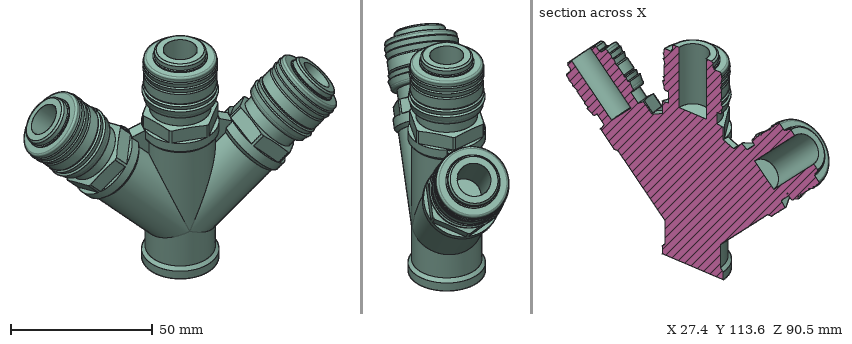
import cadquery as cq
import math


total_height = 90.5
junction_height = 19.7
outlet_angle = 45

tube_radius = 12.5
collar_radius = 13.7
inlet_collar_height = 3.4
collar_taper = 1.4
outlet_collar_bottom = 55.9
hex_bottom = 59.4

hex_top = 65.1
hex_across_flats = 24.3
hex_cone_height = 0.5

neck_radius = 10.9
sleeve_bottom = 69.6
sleeve_top = 87.5
sleeve_radius = 13.0
sleeve_fillet = 0.8
tooth_radius = 13.3
large_tooth_radius = 13.6
tooth_root_radius = 12.8
groove_radius = 12.6
upper_groove_height = 80.9
tooth_tips = (73.2, 75.2, 82.8, 85.1)
tooth_step = 0.5
lower_tooth_start = 71.0
band_bottom = 76.2
band_top = 80.3
nose_radius = 9.2
nose_chamfer = 0.7
nose_foot_radius = 9.7
nose_foot_top = 88.2
nose_foot_bottom = 87.9
bore_radius = 6.0
bore_depth = total_height - hex_top

web_thickness = 5.0


def revolve_outline(points):
    """Solid of revolution about Z from (radius, height) points, closed along the axis."""
    bottom = points[0][1]
    top = points[-1][1]
    outline = [(0, bottom)] + points + [(0, top)]
    return cq.Workplane("XZ").polyline(outline).close().revolve(360, (0, 0), (0, 1))


def make_inlet():
    return revolve_outline([
        (collar_radius, 0),
        (collar_radius, inlet_collar_height),
        (tube_radius, inlet_collar_height + collar_taper),
        (tube_radius, junction_height),
    ])


def make_outlet_tube():
    return revolve_outline([
        (tube_radius, junction_height),
        (tube_radius, outlet_collar_bottom - collar_taper),
        (collar_radius, outlet_collar_bottom),
        (collar_radius, hex_bottom),
    ])


def make_hexagon():
    """Hexagon with two flats facing -X and +X, corners turned and top face coned."""
    across_corners = hex_across_flats / math.cos(math.radians(30))
    prism = (
        cq.Workplane("XY", origin=(0, 0, hex_bottom))
        .polygon(6, across_corners)
        .extrude(hex_top - hex_bottom)
        .rotate((0, 0, 0), (0, 0, 1), 90)
    )
    turned = revolve_outline([
        (collar_radius, hex_bottom),
        (collar_radius, hex_top - hex_cone_height),
        (neck_radius, hex_top),
    ])
    return prism.intersect(turned)


def make_coupling():
    neck = revolve_outline([(neck_radius, hex_bottom), (neck_radius, sleeve_top)])
    tip_1, tip_2, tip_3, tip_4 = tooth_tips
    sleeve = revolve_outline([
        (sleeve_radius, sleeve_bottom),
        (sleeve_radius, lower_tooth_start),
        (large_tooth_radius, tip_1),
        (tooth_root_radius, tip_1 + tooth_step),
        (tooth_radius, tip_2),
        (groove_radius, tip_2 + tooth_step),
        (sleeve_radius, band_bottom),
        (sleeve_radius, band_top),
        (groove_radius, upper_groove_height),
        (tooth_radius, tip_3),
        (tooth_root_radius, tip_3 + tooth_step),
        (tooth_radius, tip_4),
        (sleeve_radius, tip_4 + tooth_step),
        (sleeve_radius, sleeve_top),
    ])
    sleeve = sleeve.faces("<Z or >Z").edges().fillet(sleeve_fillet)
    nose = revolve_outline([
        (nose_foot_radius, sleeve_top),
        (nose_foot_radius, nose_foot_bottom),
        (nose_radius, nose_foot_top),
        (nose_radius, total_height - nose_chamfer),
        (nose_radius - nose_chamfer, total_height),
    ])
    return neck.union(sleeve).union(nose)


def make_bore():
    return (
        cq.Workplane("XY", origin=(0, 0, total_height))
        .circle(bore_radius)
        .extrude(-bore_depth)
    )


def make_web():
    """Triangular plate from the junction to the facing collar corners on the +Y side."""
    corner_reach = hex_bottom - junction_height
    lean = math.radians(outlet_angle)
    upright_corner = (collar_radius, hex_bottom)
    leaning_corner = (
        corner_reach * math.sin(lean) - collar_radius * math.cos(lean),
        junction_height + corner_reach * math.cos(lean) + collar_radius * math.sin(lean),
    )
    return (
        cq.Workplane("YZ")
        .polyline([(0, junction_height), upright_corner, leaning_corner])
        .close()
        .extrude(web_thickness / 2, both=True)
    )


def lean_outlet(shape, angle):
    """Turn an upright shape about the junction; a positive angle leans it towards -Y."""
    pivot = (0, 0, junction_height)
    pivot_axis_end = (1, 0, junction_height)
    return shape.rotate(pivot, pivot_axis_end, angle)


outlet = make_outlet_tube().union(make_hexagon()).union(make_coupling()).cut(make_bore())
web = make_web()

result = make_inlet().union(web).union(web.mirror("XZ"))
for angle in (-outlet_angle, 0, outlet_angle):
    result = result.union(lean_outlet(outlet, angle))